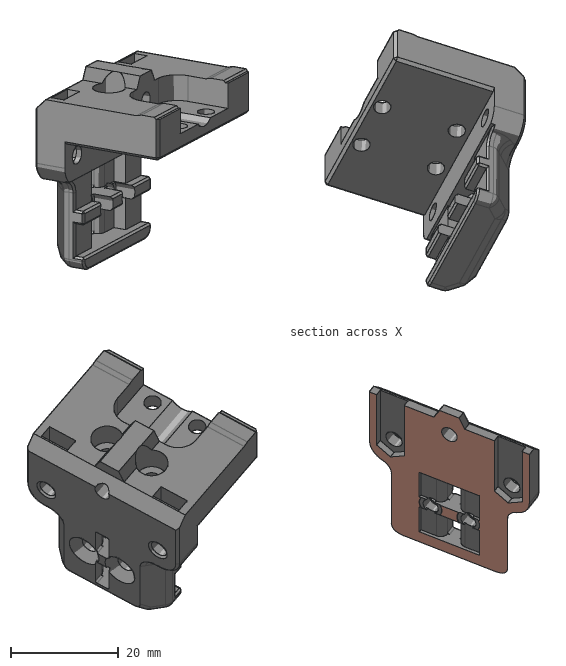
import cadquery as cq
import math


ARM_LENGTH = 26.5
WIDTH = 34.0
ARM_TOP = 33.93
ARM_BOTTOM = 25.8
ARM_CHAMFER = 0.58
PLATE_THICKNESS = 6.5
PLATE_BOTTOM = 17.25
PLATE_CORNER_RADIUS = 4
PLATE_EDGE_CHAMFER = 0.5
TOP_EDGE_CHAMFER = 2.4

STRIP_START = 21.82
STRIP_FULL = 22.85
STRIP_TOP = 34.22
STRIP_END = 25.6
LEDGE_START = 25.95
LEDGE_TOP = 33.82

RIDGE_TOP = 36.25
RIDGE_BASE_WIDTH = 6.6
RIDGE_TOP_WIDTH = 4.17
POCKET_START = 14.0
POCKET_WIDTH = 17.5
POCKET_FLOOR = 28.93
POCKET_CORNER_RADIUS = 4
GROOVE_WIDTH = 4.5
CABLE_HEIGHT = 30.92

NECK_WIDTH = 25
NECK_THICKNESS = 6.0
NECK_SIDE_CHAMFER = 4
NECK_BOTTOM_CHAMFER = 2.0
NECK_FILLET = 2.0
BLEND_RADIUS = 2.5
BAR_REACH = 7.98
BAR_ROOT = 5.08
BAR_HEIGHT = 2.7
FOOT_HEIGHT = 2.72
REAR_CHAMFER = 0.4
RECESS_TOP = 18.0

SCREW_DIAMETER = 3.2
HEAD_DIAMETER = 6.0
HEAD_SCREW_X = 9.0
END_SCREW_X = 23.95
SCREW_SPACING = 10.0
SIDE_HOLE_DIAMETER = 3.4
SIDE_HOLE_CHAMFER = 0.4
SIDE_HOLE_SPACING = 24.98
SIDE_HOLE_HEIGHT = 22.6
NUT_FLATS = 5.85
NUT_SLOT_START = 2.72
NUT_SLOT_LENGTH = 2.65
SINK_DIAMETER = 6.65
SINK_ANGLE = 90
SINK_SPACING = 8.0
NECK_BORE_DIAMETER = 4.7
NECK_BORE_START = 4
SLOT_WIDTH = 3.05
SLOT_CORNER_RADIUS = 0.4
SLOT_FLARE_START = 2.0
SLOT_FLARE_RADIUS = 1.5

OVERLAP = 0.72
BEVEL_DEPTH = 1.45
BEVEL_ANGLE = 45
MARGIN = 0.05

neck_slot_height = (RECESS_TOP - FOOT_HEIGHT - BAR_HEIGHT) / 2
bar_bottom = FOOT_HEIGHT + neck_slot_height
bar_top = bar_bottom + BAR_HEIGHT
bar_middle = (bar_bottom + bar_top) / 2
recess_half_width = (SINK_SPACING + NECK_BORE_DIAMETER) / 2
groove_depth = CABLE_HEIGHT - POCKET_FLOOR
groove_diameter = 2 * math.hypot(GROOVE_WIDTH / 2, groove_depth)


def block(x_start, x_end, width, z_start, z_end):
    """Box centred on Y between the given X and Z limits."""
    return cq.Workplane("XY").box(
        x_end - x_start, width, z_end - z_start, centered=(False, True, False)
    ).translate((x_start, 0, z_start))


def rod_x(diameter, x_start, x_end, y, z):
    """Cylinder along X."""
    return cq.Workplane("YZ", origin=(x_start, y, z)).circle(diameter / 2).extrude(x_end - x_start)


def rod_z(diameter, x, y, z_start, z_end):
    """Cylinder along Z."""
    return cq.Workplane("XY", origin=(x, y, z_start)).circle(diameter / 2).extrude(z_end - z_start)


def cone_x(start_diameter, end_diameter, length, y, z):
    """Cone along X, starting at the front face."""
    return cq.Workplane(cq.Solid.makeCone(
        start_diameter / 2, end_diameter / 2, length, pnt=cq.Vector(0, y, z), dir=cq.Vector(1, 0, 0)
    ))


def edges_within(x_limits, y_limits, z_limits):
    """Selector for the edges whose centres lie inside a box."""
    low, high = zip(sorted(x_limits), sorted(y_limits), sorted(z_limits))
    return cq.selectors.BoxSelector(low, high)


def make_neck():
    """Neck with sloping front sides and bottom, and rounded outer edges."""
    neck = block(0, NECK_THICKNESS, NECK_WIDTH, 0, PLATE_BOTTOM + OVERLAP)
    neck = neck.faces("<X").edges("|Z").chamfer(NECK_SIDE_CHAMFER)
    neck = neck.faces("<X").edges("<Z").chamfer(NECK_BOTTOM_CHAMFER)
    outer_edges = edges_within(
        (MARGIN, NECK_THICKNESS - MARGIN), (-WIDTH, WIDTH), (-MARGIN, PLATE_BOTTOM - MARGIN)
    )
    return neck.edges(outer_edges).fillet(NECK_FILLET)


def make_plate(x_start, x_end):
    """Upper plate with rounded lower corners."""
    plate = block(x_start, x_end, WIDTH, PLATE_BOTTOM, ARM_TOP)
    return plate.edges("|X and <Z").fillet(PLATE_CORNER_RADIUS)


def make_front_bevel():
    """Material outside a 45 degree bevel that follows the plate's front outline down to the neck."""
    half_plate = WIDTH / 2 - PLATE_EDGE_CHAMFER
    half_neck = NECK_WIDTH / 2 - NECK_SIDE_CHAMFER
    corner_radius = PLATE_CORNER_RADIUS - PLATE_EDGE_CHAMFER
    edge_bottom = PLATE_BOTTOM + PLATE_EDGE_CHAMFER
    blend_bottom = PLATE_BOTTOM - BLEND_RADIUS
    blend_height = edge_bottom - blend_bottom
    blend_width = BLEND_RADIUS * math.sqrt(2)

    inside = (
        cq.Workplane("YZ")
        .moveTo(0, blend_bottom)
        .lineTo(half_neck, blend_bottom)
        .ellipseArc(blend_width, blend_height, 90, 180, sense=-1)
        .lineTo(half_plate - corner_radius, edge_bottom)
        .radiusArc((half_plate, edge_bottom + corner_radius), -corner_radius)
        .lineTo(half_plate, ARM_TOP)
        .lineTo(0, ARM_TOP)
        .close()
        .extrude(BEVEL_DEPTH, taper=-BEVEL_ANGLE)
    )
    inside = inside.union(inside.mirror("XZ"))
    return block(0, BEVEL_DEPTH, WIDTH, blend_bottom, ARM_TOP).cut(inside)


def make_upright():
    """Upper plate and neck, blended together, with bevelled front and rear outlines."""
    upright = make_plate(0, NECK_THICKNESS).union(make_neck())

    for side in (-1, 1):
        joint = edges_within(
            (MARGIN, NECK_THICKNESS - MARGIN),
            (side * (NECK_WIDTH / 2 - NECK_SIDE_CHAMFER), side * (NECK_WIDTH / 2 + MARGIN)),
            (PLATE_BOTTOM - MARGIN, PLATE_BOTTOM + MARGIN),
        )
        upright = upright.edges(joint).fillet(BLEND_RADIUS)

    rear_outline = edges_within(
        (NECK_THICKNESS - MARGIN, NECK_THICKNESS + MARGIN), (-WIDTH, WIDTH), (MARGIN, ARM_TOP - MARGIN)
    )
    upright = upright.edges(rear_outline).chamfer(REAR_CHAMFER)

    rear = make_plate(NECK_THICKNESS - REAR_CHAMFER, PLATE_THICKNESS)
    upright = upright.union(rear.intersect(block(0, PLATE_THICKNESS, WIDTH, RECESS_TOP, ARM_TOP)))
    return upright.cut(make_front_bevel())


def make_foot():
    """Projection along the bottom of the neck's rear."""
    foot = block(BAR_ROOT, BAR_REACH, NECK_WIDTH, 0, FOOT_HEIGHT)
    foot = foot.edges("|X and <Z").fillet(NECK_FILLET)
    return foot.faces(">X").edges().chamfer(REAR_CHAMFER).edges("|X and >Z").chamfer(REAR_CHAMFER)


def make_bar():
    """Projection across the middle of the neck's rear."""
    bar = block(BAR_ROOT, BAR_REACH, NECK_WIDTH, bar_bottom, bar_top)
    return bar.edges("|X or >X").chamfer(REAR_CHAMFER)


def make_arm():
    """Arm with bevelled lower and end edges and a raised strip at its free end."""
    outline = [
        (0, ARM_BOTTOM),
        (ARM_LENGTH, ARM_BOTTOM),
        (ARM_LENGTH, LEDGE_TOP),
        (LEDGE_START, LEDGE_TOP),
        (STRIP_END, STRIP_TOP),
        (STRIP_FULL, STRIP_TOP),
        (STRIP_START, ARM_TOP),
        (0, ARM_TOP),
    ]
    arm = cq.Workplane("XZ").polyline(outline).close().extrude(WIDTH / 2, both=True)
    bevelled_edges = "(|Z and >X) or (|Y and >X and <Z) or (|X and <Z)"
    arm = arm.edges(bevelled_edges).chamfer(ARM_CHAMFER)
    return arm.cut(block(0, PLATE_THICKNESS, 2 * WIDTH, ARM_BOTTOM, ARM_TOP))


def make_ridge():
    """Tapered ridge along the middle of the arm, from the top bevel to the pocket."""
    outline = [
        (-RIDGE_BASE_WIDTH / 2, ARM_TOP),
        (RIDGE_BASE_WIDTH / 2, ARM_TOP),
        (RIDGE_TOP_WIDTH / 2, RIDGE_TOP),
        (-RIDGE_TOP_WIDTH / 2, RIDGE_TOP),
    ]
    ridge = cq.Workplane("YZ", origin=(TOP_EDGE_CHAMFER, 0, 0)).polyline(outline).close()
    return ridge.extrude(POCKET_START - TOP_EDGE_CHAMFER)


def make_pocket():
    """Cut at the arm's free end, with a cable groove in its floor."""
    pocket = block(POCKET_START, ARM_LENGTH, POCKET_WIDTH, POCKET_FLOOR, RIDGE_TOP)
    pocket = pocket.edges("|Z and <X").fillet(POCKET_CORNER_RADIUS)
    return pocket.union(rod_x(groove_diameter, POCKET_START, ARM_LENGTH, 0, CABLE_HEIGHT))


def make_vertical_holes(side):
    """Screw holes through the arm on one side; the one by the plate is counterbored."""
    y = side * SCREW_SPACING / 2
    holes = rod_z(SCREW_DIAMETER, END_SCREW_X, y, ARM_BOTTOM, ARM_TOP)
    holes = holes.union(rod_z(SCREW_DIAMETER, HEAD_SCREW_X, y, ARM_BOTTOM, ARM_TOP))
    return holes.union(rod_z(HEAD_DIAMETER, HEAD_SCREW_X, y, POCKET_FLOOR, RIDGE_TOP))


def make_side_hole(side):
    """Bevelled hole through the upper plate and its nut slot, open at the top with a V-shaped bottom."""
    y = side * SIDE_HOLE_SPACING / 2
    hole = rod_x(SIDE_HOLE_DIAMETER, 0, PLATE_THICKNESS, y, SIDE_HOLE_HEIGHT)
    mouth_diameter = SIDE_HOLE_DIAMETER + 2 * SIDE_HOLE_CHAMFER
    mouth = cone_x(mouth_diameter, SIDE_HOLE_DIAMETER, SIDE_HOLE_CHAMFER, y, SIDE_HOLE_HEIGHT)
    half_flats = NUT_FLATS / 2
    point_drop = NUT_FLATS / math.sqrt(3)
    slot_outline = [
        (-half_flats, ARM_TOP),
        (-half_flats, SIDE_HOLE_HEIGHT - point_drop / 2),
        (0, SIDE_HOLE_HEIGHT - point_drop),
        (half_flats, SIDE_HOLE_HEIGHT - point_drop / 2),
        (half_flats, ARM_TOP),
    ]
    slot = cq.Workplane("YZ", origin=(NUT_SLOT_START, y, 0)).polyline(slot_outline).close()
    slot = slot.extrude(NUT_SLOT_LENGTH)
    return hole.union(mouth).union(slot)


def make_neck_hole(side):
    """Hole through the neck and its bar, countersunk at the front and counterbored from the rear."""
    y = side * SINK_SPACING / 2
    hole = rod_x(SCREW_DIAMETER, 0, BAR_REACH, y, bar_middle)
    bore = rod_x(NECK_BORE_DIAMETER, NECK_BORE_START, BAR_REACH, y, bar_middle)
    sink_depth = (SINK_DIAMETER - SCREW_DIAMETER) / 2 / math.tan(math.radians(SINK_ANGLE / 2))
    sink = cone_x(SINK_DIAMETER, SCREW_DIAMETER, sink_depth, y, bar_middle)
    return hole.union(bore).union(sink)


def make_neck_slot(z_start):
    """Upright slot through the neck, flaring into a wider recess in the neck's rear."""
    slot = block(0, SLOT_FLARE_START, SLOT_WIDTH, z_start, z_start + neck_slot_height)
    slot = slot.edges("|X").fillet(SLOT_CORNER_RADIUS)

    recess_front = SLOT_FLARE_START + SLOT_FLARE_RADIUS
    half_flare = SLOT_WIDTH / 2 + SLOT_FLARE_RADIUS
    flare = (
        cq.Workplane("XY", origin=(0, 0, z_start))
        .moveTo(SLOT_FLARE_START, 0)
        .lineTo(SLOT_FLARE_START, SLOT_WIDTH / 2)
        .radiusArc((recess_front, half_flare), -SLOT_FLARE_RADIUS)
        .lineTo(recess_front, recess_half_width)
        .lineTo(NECK_THICKNESS, recess_half_width)
        .lineTo(NECK_THICKNESS, 0)
        .close()
        .extrude(neck_slot_height)
    )
    return slot.union(flare).union(flare.mirror("XZ"))


def make_top_bevel():
    """Wedge removed along the front top edge."""
    outline = [(0, ARM_TOP), (TOP_EDGE_CHAMFER, ARM_TOP), (0, ARM_TOP - TOP_EDGE_CHAMFER)]
    return cq.Workplane("XZ").polyline(outline).close().extrude(WIDTH / 2, both=True)


result = make_upright().cut(make_top_bevel())
for addition in (make_arm(), make_ridge(), make_foot(), make_bar()):
    result = result.union(addition)

result = result.cut(make_pocket())
result = result.cut(rod_x(SCREW_DIAMETER, 0, POCKET_START, 0, CABLE_HEIGHT))
for side in (-1, 1):
    result = result.cut(make_vertical_holes(side))
    result = result.cut(make_side_hole(side))
    result = result.cut(make_neck_hole(side))
for slot_bottom in (FOOT_HEIGHT, bar_top):
    result = result.cut(make_neck_slot(slot_bottom))